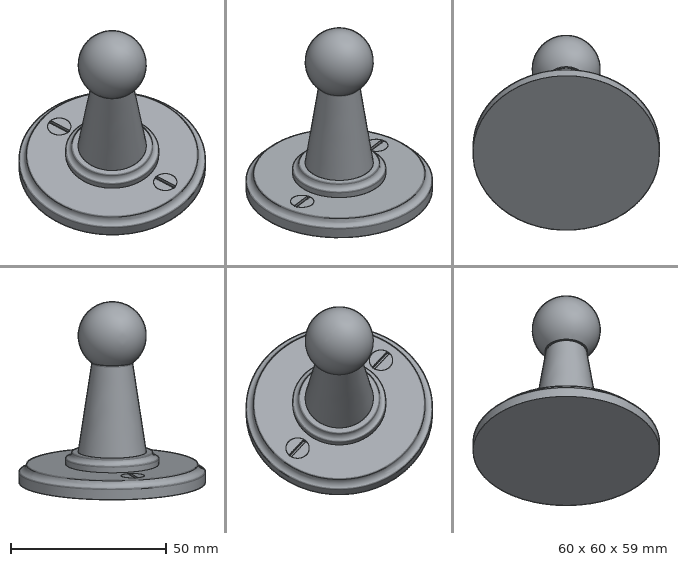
import cadquery as cq
import math

plate_radius = 30.0
plate_height = 6.0
plate_cove_radius = 2.4

collar_radius = 15.0
collar_height = 4.0
collar_cove_radius = 2.0
edge_round = 0.25

stem_bottom_radius = 11.0
stem_top_radius = 6.55
stem_top_z = 39.4
stem_edge_round = 0.5
ball_radius = stem_bottom_radius
overall_height = 59.0
ball_center_z = overall_height - ball_radius

screw_offset = 21.0
screw_diameter = 7.5
screw_depth = 2.0
slot_width = 1.0
slot_depth = 1.0


def coved_disc(radius, height, cove_radius, bottom_z):
    """Disc whose upper edge is hollowed by a quarter-circle cove, with rounded rim and top edges."""
    top_z = bottom_z + height
    cove_middle = cove_radius * math.sqrt(0.5)
    profile = (
        cq.Workplane("XZ")
        .moveTo(0, bottom_z)
        .lineTo(radius, bottom_z)
        .lineTo(radius, top_z - cove_radius)
        .threePointArc(
            (radius - cove_middle, top_z - cove_middle),
            (radius - cove_radius, top_z),
        )
        .lineTo(0, top_z)
        .close()
    )
    disc = profile.revolve(360, (0, 0, 0), (0, 1, 0))
    rim_edge = disc.faces("%CYLINDER").edges(">Z")
    top_edge = disc.faces(">Z").edges()
    return disc.newObject(rim_edge.vals() + top_edge.vals()).fillet(edge_round)


def make_stem():
    """Cone frustum standing on the collar."""
    stem_bottom_z = plate_height + collar_height
    stem = (
        cq.Workplane("XZ")
        .moveTo(0, stem_bottom_z)
        .lineTo(stem_bottom_radius, stem_bottom_z)
        .lineTo(stem_top_radius, stem_top_z)
        .lineTo(0, stem_top_z)
        .close()
        .revolve(360, (0, 0, 0), (0, 1, 0))
    )
    return stem.faces(">Z").edges().fillet(stem_edge_round)


def make_ball():
    """Ball with its underside cut flat where it meets the top of the stem."""
    flat_radius = math.sqrt(ball_radius**2 - (ball_center_z - stem_top_z) ** 2)
    return (
        cq.Workplane("XZ")
        .moveTo(0, stem_top_z)
        .lineTo(flat_radius, stem_top_z)
        .threePointArc((ball_radius, ball_center_z), (0, overall_height))
        .close()
        .revolve(360, (0, 0, 0), (0, 1, 0))
    )


def screw_blank(x):
    """Plain cylinder that fills the recess of a screw."""
    return (
        cq.Workplane("XY", origin=(x, 0, plate_height - screw_depth))
        .circle(screw_diameter / 2)
        .extrude(screw_depth)
    )


def make_screw(x):
    """Screw with a straight slot along X across its flat top."""
    slot = cq.Workplane("XY", origin=(x, 0, plate_height)).box(
        screw_diameter, slot_width, 2 * slot_depth
    )
    return screw_blank(x).cut(slot)


screw_positions = [-screw_offset, screw_offset]

plate = coved_disc(plate_radius, plate_height, plate_cove_radius, 0)
collar = coved_disc(collar_radius, collar_height, collar_cove_radius, plate_height)
mount = plate.union(collar).union(make_stem()).union(make_ball())
for x in screw_positions:
    mount = mount.cut(screw_blank(x))

screws = [make_screw(x) for x in screw_positions]

result = cq.Compound.makeCompound([mount.val(), *[screw.val() for screw in screws]])